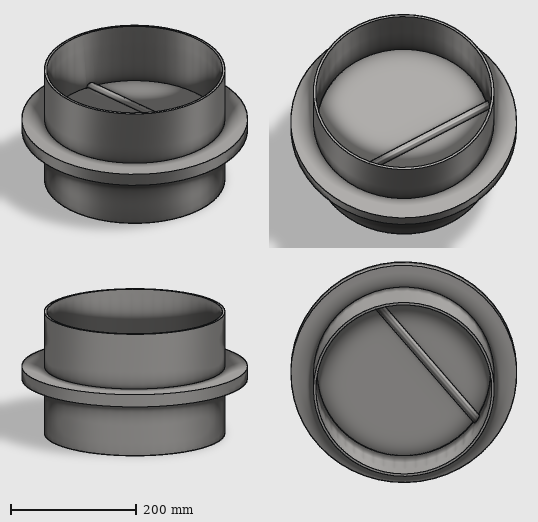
import cadquery as cq

sleeve_height = 200.0
sleeve_diameter = 288.0
bore_diameter = 280.0
flange_diameter = 360.0
flange_thickness = 20.0

plate_diameter = 276.0
plate_thickness = 4.0

shaft_diameter = 15.0
shaft_offset = 40.0


def centred_disc(diameter, thickness):
    """Vertical-axis disc with its middle at the origin."""
    return cq.Workplane("XY").workplane(offset=-thickness / 2).circle(diameter / 2).extrude(thickness)


def flanged_sleeve():
    body = centred_disc(sleeve_diameter, sleeve_height)
    flange = centred_disc(flange_diameter, flange_thickness)
    bore = centred_disc(bore_diameter, sleeve_height)
    return body.union(flange).cut(bore)


def damper_shaft():
    """Shaft along X, trimmed flush with the outside of the sleeve."""
    shaft = (
        cq.Workplane("YZ")
        .workplane(offset=-sleeve_diameter / 2)
        .center(shaft_offset, 0)
        .circle(shaft_diameter / 2)
        .extrude(sleeve_diameter)
    )
    return shaft.intersect(centred_disc(sleeve_diameter, sleeve_height))


damper_plate = centred_disc(plate_diameter, plate_thickness)
result = flanged_sleeve().union(damper_plate).union(damper_shaft())